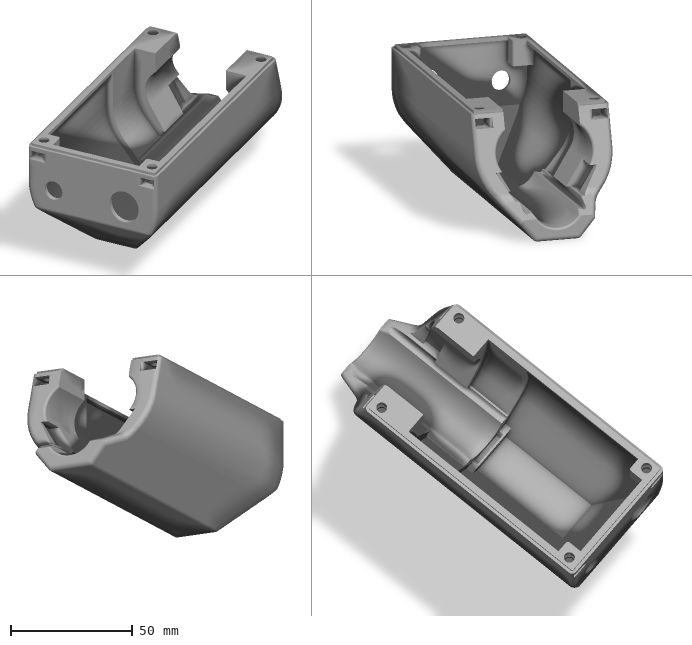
import cadquery as cq
import math

NEAR = 0.1

HALF_LENGTH = 68.0
HALF_WIDTH = 29.72
SHOULDER_Z = 50.0
TOP_Z = 51.1

ARC_Z = 33.2
ARC_RADIUS = 25.0
FLANK_ANGLE = math.radians(50.3)
EDGE_FILLET = 2.0

UNDERSIDE_RISE = 21.9
UNDERSIDE_ANGLE = math.radians(45.0)
REAR_TOP_Y = 43.8
REAR_FOOT_Y = 55.0
REAR_FOOT_Z = 15.6
NOSE_Z = 10.0
REAR_FOOT_RADIUS = 5.5

LIP_INSET = 1.2
LIP_REAR_Y = 42.6
LIP_CORNER = 0.8

THIN_WALL = 1.0
THICK_WALL = 4.01
FRONT_WALL = 2.0
STEP_Y = 3.1
BLOCK_Y = 23.3
RIM_Z = 49.6
BOSS_INNER_X = 19.9
BOSS_REAR_Y = -57.0
BOSS_DEPTH = 10.9
BOSS_CORNER = 1.1

SCREW_DIAMETER = 4.5
SCREW_DEPTH = 8.2
SCREW_X = 24.9
SCREW_FRONT_Y = -62.2
SCREW_REAR_Y = 38.4

FRONT_OPENINGS = [(-17.5, 32.0, 8.0, 8.7), (15.0, 32.5, 13.3, 14.4)]

NUT_INNER_X = 21.1
NUT_OUTER_X = 28.5
NUT_LOW_Z = 44.2
NUT_HIGH_Z = 48.3
NUT_DEPTH = 9.5
NUT_RUN_OUT = 4.1
NUT_BEVEL_X = 1.0
NUT_BEVEL_Y = 0.5

SLOT_HALF_WIDTH = 16.2
SLOT_ARC_X = 9.2
SLOT_ARC_Z = 32.9
SLOT_ARC_RADIUS = 11.5
SLOT_FLANK_ANGLE = math.radians(59.0)
SLOT_FLANK_Z = 15.0

OPENING_FILLET = 1.0

CRADLE_RADIUS = 11.0
CRADLE_FLOOR_Z = 5.5
CRADLE_EDGE_X = 10.0
CRADLE_BAND_X = 12.5
CRADLE_BAND_Z = 11.4
GROOVE_X = 13.5
GROOVE_LIP = 0.8
GROOVE_Z = 12.6
GROOVE_MID = (13.2, 11.8)
SHELF_NOTCH_Z = 3.0
SHELF_NOTCH_HALF = 6.8
SHELF_NOTCH_TOP_HALF = 8.5
SHELF_NOTCH_Y = 0.8
SHELF_Z = 5.0
SHELF_SINK = 0.5

SIDE_POCKET_Z = SLOT_FLANK_Z
SIDE_POCKET_TOP_Z = 26.5
SIDE_POCKETS = [(40.5, 49.2, 16.6), (49.2, 57.1, 15.0)]


def box(x0, x1, y0, y1, z0, z1):
    """Block between two limits on each axis."""
    return cq.Workplane("XY").box(x1 - x0, y1 - y0, z1 - z0, centered=False).translate((x0, y0, z0))


def along_y(profile, y0, y1):
    """Extrude an X-Z profile from y0 to y1."""
    return profile.extrude(y0 - y1).translate((0, y0, 0))


def shell_section(wall, top):
    """Closed outer cross-section, moved inwards by a wall thickness."""
    radius = ARC_RADIUS - wall
    side = HALF_WIDTH - wall
    centre = HALF_WIDTH - ARC_RADIUS
    end_turn = math.pi / 2 - FLANK_ANGLE
    flank_x = centre + radius * math.cos(end_turn)
    flank_z = ARC_Z - radius * math.sin(end_turn)
    mid_x = centre + radius * math.cos(end_turn / 2)
    mid_z = ARC_Z - radius * math.sin(end_turn / 2)
    bottom_x = flank_x - (flank_z - wall) / math.tan(FLANK_ANGLE)
    return (
        cq.Workplane("XZ")
        .moveTo(-side, top)
        .lineTo(-side, ARC_Z)
        .threePointArc((-mid_x, mid_z), (-flank_x, flank_z))
        .lineTo(-bottom_x, wall)
        .lineTo(bottom_x, wall)
        .lineTo(flank_x, flank_z)
        .threePointArc((mid_x, mid_z), (side, ARC_Z))
        .lineTo(side, top)
        .close()
    )


def is_outer_corner(edge):
    """True for the rounded edges: end outlines and bottom, not the shoulder or the rear face bends."""
    limits = edge.BoundingBox()
    on_shoulder = limits.zmin > SHOULDER_Z - NEAR
    runs_along_side = limits.ylen > HALF_LENGTH and limits.zmin > NEAR
    at_rear = limits.ymin > REAR_TOP_Y - NEAR and limits.zmin > NOSE_Z - NEAR
    crosses_rear = at_rear and limits.xlen > HALF_WIDTH
    return not (on_shoulder or runs_along_side or crosses_rear)


def outer_body():
    bar = along_y(shell_section(0, SHOULDER_Z), -HALF_LENGTH, HALF_LENGTH)
    profile = (
        cq.Workplane("YZ")
        .moveTo(-HALF_LENGTH, SHOULDER_Z)
        .lineTo(-HALF_LENGTH, UNDERSIDE_RISE)
        .lineTo(UNDERSIDE_RISE / math.tan(UNDERSIDE_ANGLE) - HALF_LENGTH, 0)
        .lineTo(HALF_LENGTH, 0)
        .lineTo(HALF_LENGTH, NOSE_Z)
        .lineTo(REAR_FOOT_Y, REAR_FOOT_Z)
        .lineTo(REAR_TOP_Y, SHOULDER_Z)
        .close()
        .extrude(2 * HALF_WIDTH)
        .translate((-HALF_WIDTH, 0, 0))
    )
    foot = cq.selectors.NearestToPointSelector((0, REAR_FOOT_Y, REAR_FOOT_Z))
    profile = profile.edges(foot).fillet(REAR_FOOT_RADIUS)
    body = bar.intersect(profile)
    corners = [edge for edge in body.edges().vals() if is_outer_corner(edge)]
    return body.newObject(corners).fillet(EDGE_FILLET)


def lip():
    return box(
        LIP_INSET - HALF_WIDTH, HALF_WIDTH - LIP_INSET,
        LIP_INSET - HALF_LENGTH, LIP_REAR_Y,
        SHOULDER_Z, TOP_Z,
    ).edges("|Z").fillet(LIP_CORNER)


def cavity():
    """Cavity with its rim opening; the front corner bosses stay solid."""
    underside_run = UNDERSIDE_RISE / math.tan(UNDERSIDE_ANGLE)
    floor_end = underside_run - HALF_LENGTH + THIN_WALL * math.tan(UNDERSIDE_ANGLE / 2)
    front = FRONT_WALL - HALF_LENGTH
    side_limit = (
        cq.Workplane("YZ")
        .polyline([
            (front, RIM_Z),
            (front, THIN_WALL + (floor_end - front) * math.tan(UNDERSIDE_ANGLE)),
            (floor_end, THIN_WALL),
            (STEP_Y, THIN_WALL),
            (STEP_Y, RIM_Z),
        ])
        .close()
        .extrude(2 * HALF_WIDTH)
        .translate((-HALF_WIDTH, 0, 0))
    )
    front_part = along_y(shell_section(THIN_WALL, RIM_Z), front, STEP_Y).intersect(side_limit)
    rear_part = along_y(shell_section(THICK_WALL, TOP_Z), STEP_Y, BLOCK_Y)
    rim_x = HALF_WIDTH - THICK_WALL
    opening = box(-rim_x, rim_x, THICK_WALL - HALF_LENGTH, STEP_Y, RIM_Z, TOP_Z)
    space = front_part.union(opening).union(rear_part)
    for side in (-1, 1):
        space = space.cut(boss(side))
    return space


def boss(side):
    inner, outer = sorted((side * BOSS_INNER_X, side * HALF_WIDTH))
    block = box(inner, outer, -HALF_LENGTH, BOSS_REAR_Y, TOP_Z - BOSS_DEPTH, TOP_Z)
    inner_edge = "|Z and >Y and " + ("<X" if side > 0 else ">X")
    return block.edges(inner_edge).fillet(BOSS_CORNER)


def slot():
    """Rear slot: straight top, round undercut sides, then sloped flanks."""
    top_z = SLOT_ARC_Z + math.sqrt(SLOT_ARC_RADIUS**2 - (SLOT_HALF_WIDTH - SLOT_ARC_X) ** 2)
    turn = math.pi / 2 - SLOT_FLANK_ANGLE
    flank_x = SLOT_ARC_X + SLOT_ARC_RADIUS * math.cos(turn)
    flank_z = SLOT_ARC_Z - SLOT_ARC_RADIUS * math.sin(turn)
    foot_x = flank_x - (flank_z - SLOT_FLANK_Z) / math.tan(SLOT_FLANK_ANGLE)
    wide_x = SLOT_ARC_X + SLOT_ARC_RADIUS
    profile = (
        cq.Workplane("XZ")
        .moveTo(0, TOP_Z)
        .lineTo(SLOT_HALF_WIDTH, TOP_Z)
        .lineTo(SLOT_HALF_WIDTH, top_z)
        .threePointArc((wide_x, SLOT_ARC_Z), (flank_x, flank_z))
        .lineTo(foot_x, SLOT_FLANK_Z)
        .lineTo(GROOVE_X, SLOT_FLANK_Z)
        .lineTo(GROOVE_X, GROOVE_Z)
        .threePointArc(GROOVE_MID, (CRADLE_BAND_X, CRADLE_BAND_Z))
        .lineTo(CRADLE_EDGE_X, trough_z(CRADLE_EDGE_X))
        .lineTo(0, trough_z(CRADLE_EDGE_X))
        .mirrorY()
    )
    return along_y(profile, BLOCK_Y, HALF_LENGTH)


def trough_z(x):
    """Height of the cradle trough surface at a distance x from the middle."""
    return CRADLE_FLOOR_Z + CRADLE_RADIUS - math.sqrt(CRADLE_RADIUS**2 - x**2)


def cradle():
    """Raised cradle from the step to the rear blocks, with a low shelf in front."""
    profile = (
        cq.Workplane("XZ")
        .moveTo(0, THICK_WALL)
        .lineTo(SHELF_NOTCH_HALF, THICK_WALL)
        .lineTo(GROOVE_X + GROOVE_LIP, GROOVE_Z)
        .lineTo(GROOVE_X, GROOVE_Z)
        .threePointArc(GROOVE_MID, (CRADLE_BAND_X, CRADLE_BAND_Z))
        .lineTo(CRADLE_EDGE_X, trough_z(CRADLE_EDGE_X))
        .lineTo(0, trough_z(CRADLE_EDGE_X))
        .mirrorY()
    )
    shelf = along_y(shell_section(SHELF_SINK, RIM_Z), 0, STEP_Y)
    shelf = shelf.intersect(box(-HALF_WIDTH, HALF_WIDTH, 0, STEP_Y, 0, SHELF_Z))
    return along_y(profile, STEP_Y, BLOCK_Y).union(shelf)


def trough():
    axis_z = CRADLE_FLOOR_Z + CRADLE_RADIUS
    return along_y(cq.Workplane("XZ").center(0, axis_z).circle(CRADLE_RADIUS), STEP_Y, HALF_LENGTH)


def shelf_notch():
    profile = (
        cq.Workplane("XZ")
        .polyline([
            (-SHELF_NOTCH_HALF, SHELF_NOTCH_Z),
            (SHELF_NOTCH_HALF, SHELF_NOTCH_Z),
            (SHELF_NOTCH_TOP_HALF, SHELF_Z),
            (-SHELF_NOTCH_TOP_HALF, SHELF_Z),
        ])
        .close()
    )
    return along_y(profile, SHELF_NOTCH_Y, STEP_Y)


def side_pockets():
    """Recesses in the slot flanks, with walls parallel to the flanks."""
    rise = SIDE_POCKET_TOP_Z - SIDE_POCKET_Z
    lean = rise / math.tan(SLOT_FLANK_ANGLE)
    pockets = cq.Workplane("XY")
    for start_y, end_y, floor_x in SIDE_POCKETS:
        corners = [
            (0, SIDE_POCKET_Z),
            (floor_x, SIDE_POCKET_Z),
            (floor_x + lean, SIDE_POCKET_TOP_Z),
            (0, SIDE_POCKET_TOP_Z),
        ]
        half = along_y(cq.Workplane("XZ").polyline(corners).close(), start_y, end_y)
        pockets = pockets.add(half).add(half.mirror("YZ"))
    return pockets.combine()


def nut_pockets():
    height = NUT_HIGH_Z - NUT_LOW_Z
    lean = (REAR_FOOT_Y - REAR_TOP_Y) / (SHOULDER_Z - REAR_FOOT_Z)
    rear_y = REAR_TOP_Y + lean * (SHOULDER_Z - NUT_HIGH_Z)
    outline = [
        (NUT_INNER_X, -NUT_RUN_OUT),
        (NUT_OUTER_X, -NUT_RUN_OUT),
        (NUT_OUTER_X, NUT_DEPTH),
        (NUT_INNER_X + NUT_BEVEL_X, NUT_DEPTH),
        (NUT_INNER_X + NUT_BEVEL_X, NUT_BEVEL_Y),
        (NUT_INNER_X, 0),
    ]
    pocket = cq.Workplane("XY").polyline(outline).close().extrude(height)
    front = pocket.translate((0, -HALF_LENGTH, NUT_LOW_Z))
    rear = pocket.mirror("XZ").translate((0, rear_y, NUT_LOW_Z))
    pair = front.union(rear)
    return pair.union(pair.mirror("YZ"))


def front_openings():
    holes = cq.Workplane("XY")
    for x, z, width, height in FRONT_OPENINGS:
        oval = cq.Workplane("XZ").center(x, z).ellipse(width / 2, height / 2)
        holes = holes.add(along_y(oval, -HALF_LENGTH, BOSS_REAR_Y))
    return holes.combine()


def screw_holes():
    points = [(side * SCREW_X, y) for side in (-1, 1) for y in (SCREW_FRONT_Y, SCREW_REAR_Y)]
    return (
        cq.Workplane("XY").workplane(offset=TOP_Z).pushPoints(points)
        .circle(SCREW_DIAMETER / 2).extrude(-SCREW_DEPTH)
    )


def is_rear_opening_edge(edge):
    """True for the curved slot and trough edges on the rear face and nose."""
    limits = edge.BoundingBox()
    centre = edge.Center()
    at_rear = limits.ymin > REAR_TOP_Y + NEAR and limits.ylen < HALF_LENGTH / 2
    aside = abs(centre.x)
    on_trough = aside < CRADLE_EDGE_X and limits.zmin > EDGE_FILLET + NEAR
    on_slot = CRADLE_EDGE_X < aside < SLOT_ARC_X + SLOT_ARC_RADIUS and limits.zmax > SLOT_FLANK_Z + NEAR
    curved_trough = on_trough and edge.geomType() != "LINE"
    curved_slot = on_slot and edge.geomType() == "ELLIPSE"
    return at_rear and (curved_trough or curved_slot)


def housing():
    """Outer body with the lip, cavity, cradle and rear slot, and rounded rear openings."""
    body = (
        outer_body()
        .union(lip())
        .cut(cavity())
        .union(cradle())
        .cut(slot())
        .cut(trough())
    )
    rear_edges = [edge for edge in body.edges().vals() if is_rear_opening_edge(edge)]
    return body.newObject(rear_edges).fillet(OPENING_FILLET)


result = (
    housing()
    .cut(shelf_notch())
    .cut(side_pockets())
    .cut(nut_pockets())
    .cut(front_openings())
    .cut(screw_holes())
)